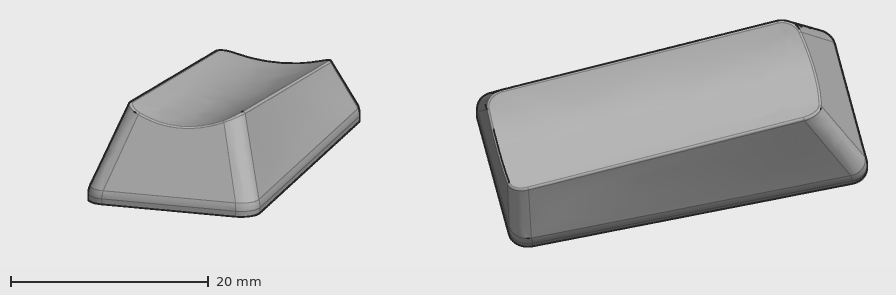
import cadquery as cq
import math

base_width = 18.16
base_length = 37.21
base_corner_radius = 2.0

skirt_top = 0.62
shoulder_top = 1.42
shoulder_side_inset = 0.17
shoulder_front_inset = 0.23
shoulder_back_inset = 0.035
shoulder_corner_radius = 1.88

top_tilt = 6.0
top_width = 12.05
top_front_y = -13.95
top_back_y = 18.12
top_front_height = 9.49
top_corner_radius = 1.8
top_length = (top_back_y - top_front_y) / math.cos(math.radians(top_tilt))

dish_front_depth = 1.77
dish_back_depth = 1.03
dish_overrun = 2.0
dish_clearance = 3.0

rim_fillet = 0.25


def rounded_outline(plane, width, y_front, y_back, radius):
    """Rounded rectangle centred on X, running from y_front to y_back in the plane."""
    return (
        cq.Sketch()
        .push([(0, (y_front + y_back) / 2)])
        .rect(width, y_back - y_front)
        .reset()
        .vertices()
        .fillet(radius)
        .moved(plane.location)
    )


def level_outline(height, lean):
    """Horizontal outline at a height; lean is the fraction of the full shoulder inset."""
    return rounded_outline(
        cq.Plane(origin=(0, 0, height)),
        base_width - 2 * lean * shoulder_side_inset,
        -base_length / 2 + lean * shoulder_front_inset,
        base_length / 2 - lean * shoulder_back_inset,
        base_corner_radius + lean * (shoulder_corner_radius - base_corner_radius),
    )


def make_rim_plane():
    """Plane of the rim, with its origin at the middle of the front top edge."""
    tilt = math.radians(top_tilt)
    return cq.Plane(
        origin=(0, top_front_y, top_front_height),
        xDir=(1, 0, 0),
        normal=(0, math.sin(tilt), math.cos(tilt)),
    )


def make_skirt():
    return cq.Workplane().placeSketch(level_outline(0, 0)).extrude(skirt_top)


def make_shoulder():
    """Band curving from upright to the slope of the walls (a parabola in section)."""
    middle_lean = 0.25
    middle = (skirt_top + shoulder_top) / 2
    sections = [
        level_outline(skirt_top, 0),
        level_outline(middle, middle_lean),
        level_outline(shoulder_top, 1),
    ]
    return cq.Workplane().placeSketch(*sections).loft()


def make_walls(rim_plane):
    """Straight-ruled walls from the shoulder up to the tilted rim."""
    rim = rounded_outline(rim_plane, top_width, 0, top_length, top_corner_radius)
    return cq.Workplane().placeSketch(level_outline(shoulder_top, 1), rim).loft(ruled=True)


def make_dish(rim_plane):
    """Trough with circular arcs across it; its straight edges follow the long edges of the rim."""
    half_width = top_width / 2
    stations = [
        (-dish_overrun, dish_front_depth),
        (top_length + dish_overrun, dish_back_depth),
    ]
    sections = []
    for distance, depth in stations:
        origin = rim_plane.toWorldCoords((0, distance, 0))
        section = (
            cq.Workplane(cq.Plane(origin, rim_plane.xDir, -rim_plane.yDir))
            .moveTo(-half_width, 0)
            .threePointArc((0, -depth), (half_width, 0))
            .lineTo(half_width, dish_clearance)
            .lineTo(-half_width, dish_clearance)
            .close()
        )
        sections.append(section.val())
    return cq.Workplane(cq.Solid.makeLoft(sections, True))


def round_rim(body):
    """Fillet the sharp edge all round the dish, the face nearest to a point high above the key."""
    point_above = (0, 0, base_length)
    dish_face = body.faces(cq.selectors.NearestToPointSelector(point_above))
    return body.newObject(dish_face.edges().vals()).fillet(rim_fillet)


rim_plane = make_rim_plane()
body = make_skirt().union(make_shoulder()).union(make_walls(rim_plane))
result = round_rim(body.cut(make_dish(rim_plane)))